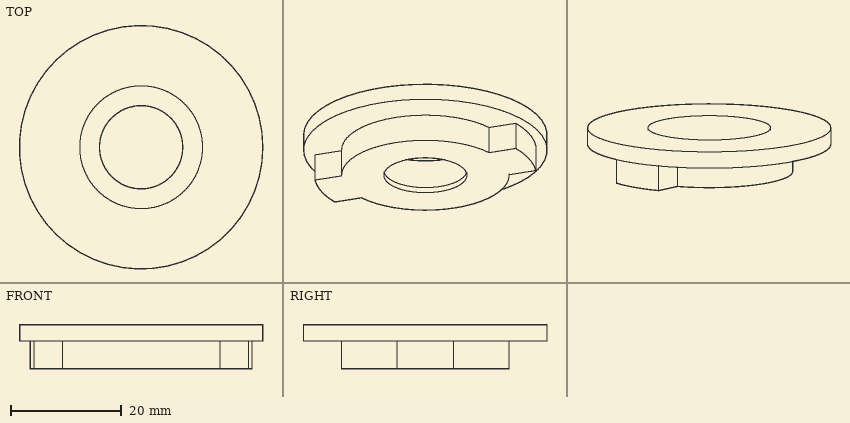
import cadquery as cq

flange_diameter = 44.0
flange_thickness = 3.0

hub_diameter = 30.25
hub_height = 5.0
tab_tip_diameter = 40.1
tab_width = 10.2

seat_diameter = 22.2
seat_depth = 7.0
bore_diameter = 15.0

total_height = hub_height + flange_thickness


def cylinder(diameter, bottom, height):
    """Cylinder on the Z axis, starting at the given Z."""
    return cq.Workplane("XY").workplane(offset=bottom).circle(diameter / 2).extrude(height)


def drive_tabs():
    """Bar across the hub whose two ends are rounded to the tab tip circle."""
    bar = cq.Workplane("XY").box(
        tab_tip_diameter, tab_width, hub_height, centered=(True, True, False)
    )
    return bar.intersect(cylinder(tab_tip_diameter, 0, hub_height))


flange = cylinder(flange_diameter, hub_height, flange_thickness)
hub = cylinder(hub_diameter, 0, hub_height)
bearing_seat = cylinder(seat_diameter, total_height - seat_depth, seat_depth)
bore = cylinder(bore_diameter, 0, total_height)

body = flange.union(hub).union(drive_tabs())
result = body.cut(bearing_seat).cut(bore)